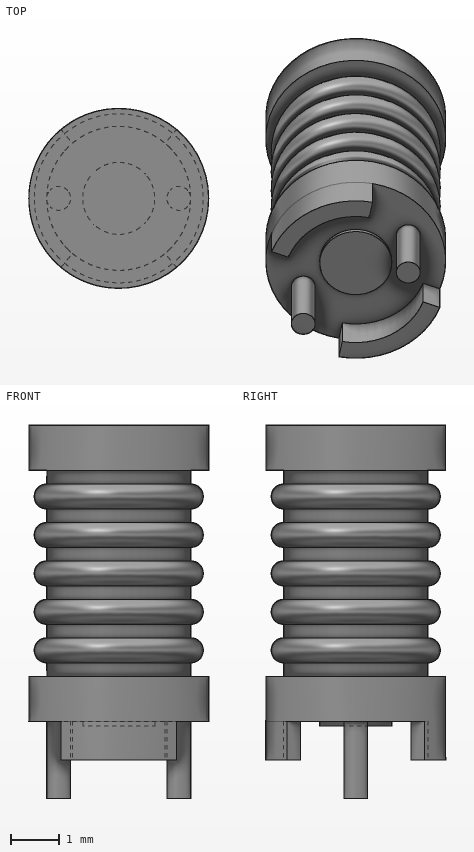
import cadquery as cq
import math

total_height = 7.78
flange_diameter = 3.75
flange_height = 0.94
core_diameter = 3.0

wire_diameter = 0.52
ring_count = 5
ring_pitch = 0.8

pin_diameter = 0.5
pin_length = 1.6
foot_height = pin_length / 2
foot_sweep = 80.0
pad_diameter = 1.5
pad_height = 0.09

flange_radius = flange_diameter / 2
core_radius = core_diameter / 2
flange_bottom = pin_length
core_bottom = flange_bottom + flange_height
core_top = total_height - flange_height
pin_offset = core_radius - pin_diameter / 2


def cylinder(diameter, bottom, top, x=0):
    """Upright cylinder between two heights."""
    return cq.Workplane("XY", origin=(x, 0, bottom)).circle(diameter / 2).extrude(top - bottom)


def wire_ring(height):
    """Ring of round wire centred on the core surface."""
    return (
        cq.Workplane("XZ")
        .center(-core_radius, height)
        .circle(wire_diameter / 2)
        .revolve(360, (core_radius, 0), (core_radius, 1))
    )


def polar(radius, angle):
    """Point in the XY plane at an angle in degrees."""
    return (radius * math.cos(math.radians(angle)), radius * math.sin(math.radians(angle)))


def foot(middle_angle):
    """Curved foot below the lower flange, with radial end faces."""
    start = middle_angle - foot_sweep / 2
    end = middle_angle + foot_sweep / 2
    return (
        cq.Workplane("XY", origin=(0, 0, flange_bottom - foot_height))
        .moveTo(*polar(core_radius, start))
        .lineTo(*polar(flange_radius, start))
        .threePointArc(polar(flange_radius, middle_angle), polar(flange_radius, end))
        .lineTo(*polar(core_radius, end))
        .threePointArc(polar(core_radius, middle_angle), polar(core_radius, start))
        .close()
        .extrude(foot_height)
    )


result = cylinder(core_diameter, core_bottom, core_top)
result = result.union(cylinder(flange_diameter, flange_bottom, core_bottom))
result = result.union(cylinder(flange_diameter, core_top, total_height))

core_middle = (core_bottom + core_top) / 2
for index in range(ring_count):
    ring_height = core_middle + (index - (ring_count - 1) / 2) * ring_pitch
    result = result.union(wire_ring(ring_height))

result = result.union(cylinder(pad_diameter, flange_bottom - pad_height, flange_bottom))

for middle_angle in (-90, 90):
    result = result.union(foot(middle_angle))

for side in (-1, 1):
    result = result.union(cylinder(pin_diameter, 0, flange_bottom, side * pin_offset))